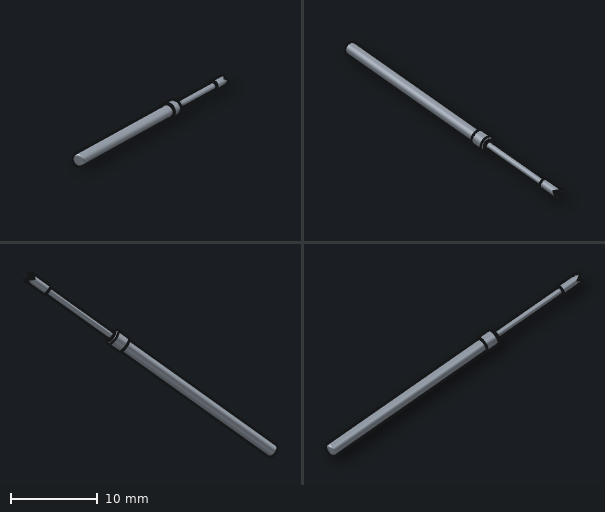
import cadquery as cq
import math

total_length = 37.8
barrel_diameter = 1.7
barrel_radius = barrel_diameter / 2
barrel_end_fillet = 0.4
collar_diameter = 2.0
collar_radius = collar_diameter / 2
collar_start = 23.05
collar_end = 25.0
collar_front_chamfer = 0.25
shaft_radius = 0.5
head_radius = 0.65
head_start = 34.8
crown_depth = 0.7


def make_body():
    """Revolve the stepped barrel, collar, shaft and head about the Y axis."""
    end_face_radius = barrel_radius - barrel_end_fillet
    fillet_middle = barrel_end_fillet * math.sqrt(0.5)
    return (
        cq.Workplane("XY")
        .lineTo(end_face_radius, 0)
        .threePointArc(
            (end_face_radius + fillet_middle, barrel_end_fillet - fillet_middle),
            (barrel_radius, barrel_end_fillet),
        )
        .lineTo(barrel_radius, collar_start)
        .lineTo(collar_radius, collar_start)
        .lineTo(collar_radius, collar_end - collar_front_chamfer)
        .lineTo(collar_radius - collar_front_chamfer, collar_end)
        .lineTo(shaft_radius, collar_end)
        .lineTo(shaft_radius, head_start)
        .lineTo(head_radius, head_start)
        .lineTo(head_radius, total_length)
        .lineTo(0, total_length)
        .close()
        .revolve(360, (0, 0, 0), (0, 1, 0))
    )


def make_crown_groove(angle):
    """V groove across the head face, turned about Y by the given angle."""
    half_width = head_radius * math.sqrt(0.5)
    return (
        cq.Workplane("XY")
        .moveTo(0, total_length - crown_depth)
        .lineTo(half_width, total_length)
        .lineTo(-half_width, total_length)
        .close()
        .extrude(2 * head_radius, both=True)
        .rotate((0, 0, 0), (0, 1, 0), angle)
    )


result = make_body()
for groove_angle in (45, -45):
    result = result.cut(make_crown_groove(groove_angle))